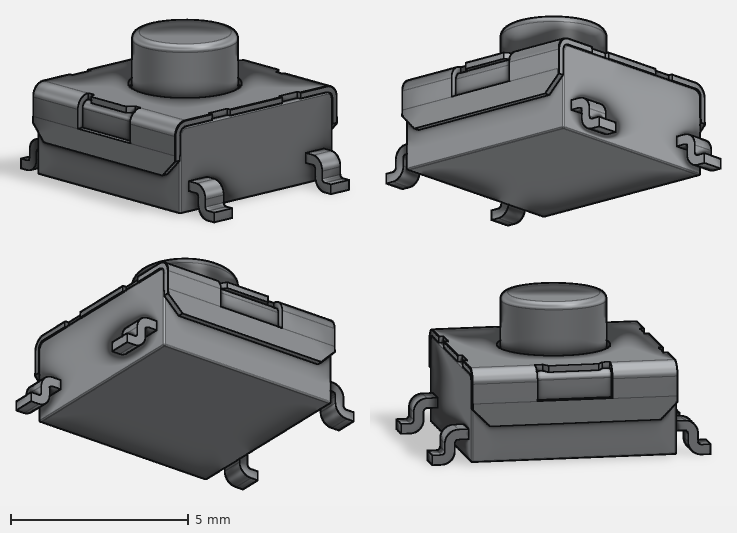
import cadquery as cq

overall_length = 8.0
standoff = 0.1
cover_top = 2.8
button_top = 4.3

body_length = 5.9
body_width = 5.87
body_edge_round = 0.05

cover_length = body_length
sheet = 0.18
outer_bend = 0.4
inner_bend = outer_bend - sheet
sheet_edge_break = 0.02
flare_start = 1.83
flap_bottom = 1.17
flare = 0.03
flap_corner = 0.5
cover_bore = 3.2

window_length = 2.16
tab_root_length = 1.71
tab_tip_length = 1.44
edge_notch_depth = 0.13
edge_notch_length = 0.7
edge_notch_offset = 1.35

button_diameter = 3.0
button_round = 0.2
well_diameter = 3.1
well_depth = 0.2

lead_thickness = 0.29
lead_width = 0.7
lead_spacing = 4.5
lead_top = 1.0
lead_upright_outer = 3.64
lead_inner_bend = 0.1

body_top = cover_top - sheet
well_floor = body_top - well_depth
half_body = body_width / 2
half_cover = half_body + sheet
bend_line = half_body - inner_bend


def centred_box(length, width, bottom, top, x=0, y=0):
    return (
        cq.Workplane("XY", origin=(x, y, bottom))
        .box(length, width, top - bottom, centered=(True, True, False))
    )


def make_body():
    body = centred_box(body_length, body_width, standoff, body_top)
    body = body.edges("|X and >Z").fillet(inner_bend)
    body = body.faces("<X or >X or <Z").edges().fillet(body_edge_round)
    well = cq.Workplane("XY", origin=(0, 0, well_floor)).circle(well_diameter / 2).extrude(well_depth)
    return body.cut(well)


def make_arch(half_width, top, bend):
    return (
        cq.Workplane("YZ")
        .moveTo(-half_width - flare, flap_bottom)
        .lineTo(-half_width, flare_start)
        .lineTo(-half_width, top - bend)
        .radiusArc((-half_width + bend, top), bend)
        .lineTo(half_width - bend, top)
        .radiusArc((half_width, top - bend), bend)
        .lineTo(half_width, flare_start)
        .lineTo(half_width + flare, flap_bottom)
        .close()
        .extrude(cover_length / 2, both=True)
    )


def make_cover_shell():
    shell = make_arch(half_cover, cover_top, outer_bend)
    shell = shell.faces("<X or >X").edges("not <Z").chamfer(sheet_edge_break)
    shell = shell.cut(make_arch(half_body, body_top, inner_bend))
    for end in (-1, 1):
        end_x = end * cover_length / 2
        corner = (
            cq.Workplane("XZ")
            .polyline([
                (end_x, flap_bottom),
                (end_x, flap_bottom + flap_corner),
                (end_x - end * flap_corner, flap_bottom),
            ])
            .close()
            .extrude(half_cover + flare, both=True)
        )
        shell = shell.cut(corner)
    return shell


def make_window(side):
    opening_width = half_cover - bend_line
    opening_centre = side * (half_cover + bend_line) / 2
    opening = centred_box(window_length, opening_width, flare_start, cover_top, y=opening_centre)
    tab = (
        cq.Workplane("XY", origin=(0, 0, body_top))
        .polyline([
            (-tab_root_length / 2, side * bend_line),
            (tab_root_length / 2, side * bend_line),
            (tab_tip_length / 2, side * half_body),
            (-tab_tip_length / 2, side * half_body),
        ])
        .close()
        .extrude(sheet)
    )
    return opening, tab


def make_cover():
    cover = make_cover_shell()
    bore = cq.Workplane("XY", origin=(0, 0, body_top)).circle(cover_bore / 2).extrude(sheet)
    cover = cover.cut(bore)
    for side in (-1, 1):
        opening, tab = make_window(side)
        cover = cover.cut(opening).union(tab)
        for end in (-1, 1):
            notch = centred_box(
                2 * edge_notch_depth,
                edge_notch_length,
                body_top,
                cover_top,
                x=end * cover_length / 2,
                y=side * edge_notch_offset,
            )
            cover = cover.cut(notch)
    return cover


def make_button():
    return (
        cq.Workplane("XY", origin=(0, 0, well_floor))
        .circle(button_diameter / 2)
        .extrude(button_top - well_floor)
        .faces(">Z")
        .edges()
        .fillet(button_round)
    )


def make_lead(side):
    lead_y = side * lead_spacing / 2
    root_x = body_length / 2 - lead_thickness
    upright_inner = lead_upright_outer - lead_thickness
    arm_bottom = lead_top - lead_thickness
    lead_outer_bend = lead_inner_bend + lead_thickness
    lead = (
        cq.Workplane("XZ", origin=(0, lead_y, 0))
        .polyline([
            (root_x, lead_top),
            (lead_upright_outer, lead_top),
            (lead_upright_outer, lead_thickness),
            (overall_length / 2, lead_thickness),
            (overall_length / 2, 0),
            (upright_inner, 0),
            (upright_inner, arm_bottom),
            (root_x, arm_bottom),
        ])
        .close()
        .extrude(lead_width / 2, both=True)
    )
    bends = [
        (lead_upright_outer, lead_top, lead_outer_bend),
        (upright_inner, arm_bottom, lead_inner_bend),
        (lead_upright_outer, lead_thickness, lead_inner_bend),
        (upright_inner, 0, lead_outer_bend),
    ]
    for x, z, radius in bends:
        bend_edge = cq.selectors.NearestToPointSelector((x, lead_y, z))
        lead = lead.edges("|Y").edges(bend_edge).fillet(radius)
    return lead


result = make_body().union(make_cover()).union(make_button())
for side in (-1, 1):
    lead = make_lead(side)
    result = result.union(lead).union(lead.mirror("YZ"))